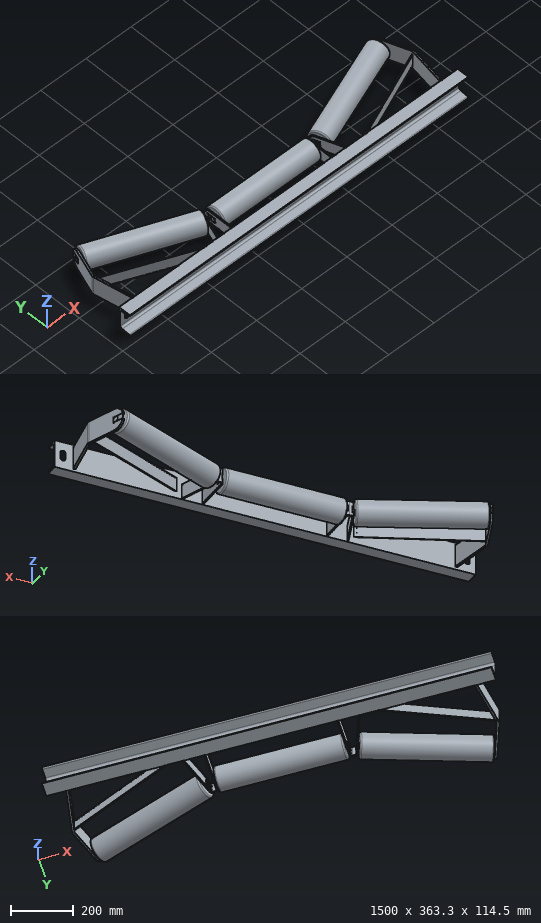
import cadquery as cq
import math


BEAM_LENGTH = 1500.0
BEAM_HEIGHT = 100.0
BEAM_DEPTH = 50.0
WEB_THICKNESS = 6.0
FLANGE_MEAN_THICKNESS = 8.5
FLANGE_SLOPE = 0.08
FLANGE_ROOT_RADIUS = 8.5
FLANGE_TOE_RADIUS = 4.5
MOUNT_SLOT_SPACING = 1440.0
MOUNT_SLOT_WIDTH = 18.0
MOUNT_SLOT_LENGTH = 36.0

ROLLER_DIAMETER = 89.0
ROLLER_LENGTH = 430.0
ROLLER_EDGE_RADIUS = 5.0
SHAFT_DIAMETER = 20.0
SHAFT_SLOT_HEIGHT = 60.0
END_GAP = 4.0
TROUGH_ANGLE = 20.0
CENTRE_AXIS_Y = 115.5
INNER_AXIS_Z = -20.0
OUTER_AXIS_Z = 0.0

WING_INNER_X = 255.5
WING_INNER_Y = 125.95

OUTER_BAR_THICKNESS = 8.0
INNER_BAR_THICKNESS = 5.0
OUTER_BAR_WIDTH = 80.0
INNER_BAR_WIDTH = 52.0
INNER_BRACKET_TOP_Y = 145.0
INNER_BEND_RADIUS = 9.0
OUTER_BEND_RADIUS = 16.0
OUTER_BEND_Y = 162.0
OUTER_LEG_ANGLE = 10.0
OUTER_TIP_RADIUS = OUTER_BAR_WIDTH / 2
OUTER_TIP_ACROSS = 33.0

FOOT_OVERRUN = 10.0

INNER_STUB = END_GAP + INNER_BAR_THICKNESS
OUTER_STUB = END_GAP + OUTER_BAR_THICKNESS

BRACE_THICKNESS = 4.0
BRACE_WIDTH = 50.0
BRACE_FOOT_X = 326.0
BRACE_TOP_Y = 161.0

TROUGH_COS = math.cos(math.radians(TROUGH_ANGLE))
TROUGH_SIN = math.sin(math.radians(TROUGH_ANGLE))
WING_SPAN = ROLLER_LENGTH + 2 * END_GAP
WING_RISE = math.degrees(math.asin((OUTER_AXIS_Z - INNER_AXIS_Z) / WING_SPAN))


def wing_point(along, across):
    """XY point of the right wing, measured from the inner end of its roller."""
    x = WING_INNER_X + along * TROUGH_COS - across * TROUGH_SIN
    y = WING_INNER_Y + along * TROUGH_SIN + across * TROUGH_COS
    return (x, y)


def wing_across_at(along, y):
    """Distance across the wing at which a point this far along it lies at y."""
    return (y - WING_INNER_Y - along * TROUGH_SIN) / TROUGH_COS


def inner_edge_box(y):
    """Opposite corners of a box around the beam edges at this Y that lie between its two outer faces."""
    margin = 1.0
    low = (-BEAM_LENGTH, y - margin, margin - BEAM_HEIGHT / 2)
    high = (BEAM_LENGTH, y + margin, BEAM_HEIGHT / 2 - margin)
    return low, high


def make_beam():
    """Channel with tapered flanges and an upright bolt slot near each end of its web."""
    half = BEAM_HEIGHT / 2
    mean_y = BEAM_DEPTH / 2
    root_thickness = FLANGE_MEAN_THICKNESS + FLANGE_SLOPE * (mean_y - WEB_THICKNESS)
    toe_thickness = FLANGE_MEAN_THICKNESS - FLANGE_SLOPE * mean_y
    profile = [
        (0, -half),
        (-BEAM_DEPTH, -half),
        (-BEAM_DEPTH, toe_thickness - half),
        (-WEB_THICKNESS, root_thickness - half),
        (-WEB_THICKNESS, half - root_thickness),
        (-BEAM_DEPTH, half - toe_thickness),
        (-BEAM_DEPTH, half),
        (0, half),
    ]
    beam = cq.Workplane("YZ").polyline(profile).close().extrude(BEAM_LENGTH / 2, both=True)
    roots = cq.selectors.BoxSelector(*inner_edge_box(-WEB_THICKNESS))
    toes = cq.selectors.BoxSelector(*inner_edge_box(-BEAM_DEPTH))
    beam = beam.edges("|X").edges(roots).fillet(FLANGE_ROOT_RADIUS)
    beam = beam.edges("|X").edges(toes).fillet(FLANGE_TOE_RADIUS)
    slots = (
        cq.Workplane("XZ")
        .pushPoints([(-MOUNT_SLOT_SPACING / 2, 0), (MOUNT_SLOT_SPACING / 2, 0)])
        .slot2D(MOUNT_SLOT_LENGTH, MOUNT_SLOT_WIDTH, 90)
        .extrude(WEB_THICKNESS)
    )
    return beam.cut(slots)


def make_roller(start_stub, end_stub):
    """Roller along +X from the origin, with a shaft stub standing out of each end."""
    tube = cq.Workplane("YZ").circle(ROLLER_DIAMETER / 2).extrude(ROLLER_LENGTH)
    tube = tube.faces("<X or >X").edges().fillet(ROLLER_EDGE_RADIUS)
    shaft_start = cq.Workplane("YZ").workplane(offset=-start_stub)
    shaft = shaft_start.circle(SHAFT_DIAMETER / 2).extrude(start_stub + ROLLER_LENGTH + end_stub)
    return tube.union(shaft)


def make_shaft_slot(start, length):
    """Room for dropping a shaft stub in from the +Y side, in the roller's own frame."""
    slot = cq.Workplane("XY").box(length, SHAFT_SLOT_HEIGHT, SHAFT_DIAMETER, centered=(False, False, True))
    return slot.translate((start, -SHAFT_DIAMETER / 2, 0))


def place_on_wing(body):
    """Moves a body from the roller's own frame to the right wing."""
    tilted = body.rotate((0, 0, 0), (0, 1, 0), -WING_RISE)
    turned = tilted.rotate((0, 0, 0), (0, 0, 1), TROUGH_ANGLE)
    return turned.translate((WING_INNER_X, WING_INNER_Y, INNER_AXIS_Z))


def place_at_centre(body):
    """Moves a body from the roller's own frame to the middle of the idler."""
    return body.translate((-ROLLER_LENGTH / 2, CENTRE_AXIS_Y, INNER_AXIS_Z))


def offset_line(points, distance):
    """Polyline beside an XY polyline, on its left for a positive distance."""
    directions = []
    for start, end in zip(points, points[1:]):
        length = math.dist(start, end)
        directions.append(((end[0] - start[0]) / length, (end[1] - start[1]) / length))
    befores = directions[:1] + directions
    afters = directions + directions[-1:]
    shifted = []
    for point, before, after in zip(points, befores, afters):
        cosine = before[0] * after[0] + before[1] * after[1]
        scale = distance / (1 + cosine)
        shifted.append((point[0] - (before[1] + after[1]) * scale, point[1] + (before[0] + after[0]) * scale))
    return shifted


def make_bent_bar(face_line, outside_radius, thickness, width):
    """Flat bar whose outside face follows an XY polyline, the metal being on its left."""
    inside_line = offset_line(face_line, thickness)
    bar = cq.Workplane("XY").polyline(face_line + inside_line[::-1]).close().extrude(width / 2, both=True)
    for line, radius in ((face_line, outside_radius), (inside_line, outside_radius - thickness)):
        for bend in line[1:-1]:
            nearest = cq.selectors.NearestToPointSelector((*bend, 0))
            bar = bar.edges("|Z").edges(nearest).fillet(radius)
    return bar


def trim_at_web(bar):
    """Removes whatever reaches past the back of the beam web."""
    waste = cq.Workplane("XY").box(BEAM_LENGTH, BEAM_DEPTH, BEAM_HEIGHT).translate((0, -BEAM_DEPTH / 2, 0))
    return bar.cut(waste)


def make_inner_bracket():
    """Bridge between the centre and wing rollers: an upright leg, a short top and a sloping leg."""
    upright_x = ROLLER_LENGTH / 2 + END_GAP
    inner_along = -END_GAP
    top_corner = wing_point(inner_along, wing_across_at(inner_along, INNER_BRACKET_TOP_Y))
    foot = wing_point(inner_along, wing_across_at(inner_along, -FOOT_OVERRUN))
    face_line = [foot, top_corner, (upright_x, INNER_BRACKET_TOP_Y), (upright_x, -FOOT_OVERRUN)]
    bar = make_bent_bar(face_line, INNER_BEND_RADIUS, INNER_BAR_THICKNESS, INNER_BAR_WIDTH)
    bar = trim_at_web(bar.translate((0, 0, INNER_AXIS_Z)))
    wing_slot = place_on_wing(make_shaft_slot(-INNER_STUB, INNER_STUB))
    centre_slot = place_at_centre(make_shaft_slot(ROLLER_LENGTH, INNER_STUB))
    return bar.cut(wing_slot).cut(centre_slot)


def round_tip(bar, face_along):
    """Trims the free end of the outer bracket to a half round as wide as the bar."""
    centre = wing_point(face_along, OUTER_TIP_ACROSS - OUTER_TIP_RADIUS)
    face = cq.Workplane(cq.Plane((*centre, 0), (-TROUGH_SIN, TROUGH_COS, 0), (TROUGH_COS, TROUGH_SIN, 0)))
    end_block = face.center(OUTER_TIP_RADIUS, 0).rect(2 * OUTER_TIP_RADIUS, 2 * OUTER_BAR_WIDTH)
    waste = end_block.extrude(2 * OUTER_BAR_THICKNESS, both=True)
    waste = waste.cut(face.circle(OUTER_TIP_RADIUS).extrude(2 * OUTER_BAR_THICKNESS, both=True))
    return bar.cut(waste)


def make_outer_bracket():
    """Bar that rises from the web, then bends in to stand square to the outer end of the wing roller."""
    face_along = ROLLER_LENGTH + OUTER_STUB
    tip = wing_point(face_along, OUTER_TIP_ACROSS)
    bend = wing_point(face_along, wing_across_at(face_along, OUTER_BEND_Y))
    leg_run = math.tan(math.radians(OUTER_LEG_ANGLE)) * (OUTER_BEND_Y + FOOT_OVERRUN)
    foot = (bend[0] - leg_run, -FOOT_OVERRUN)
    bar = make_bent_bar([foot, bend, tip], OUTER_BEND_RADIUS, OUTER_BAR_THICKNESS, OUTER_BAR_WIDTH)
    bar = round_tip(trim_at_web(bar), face_along)
    return bar.cut(place_on_wing(make_shaft_slot(ROLLER_LENGTH, OUTER_STUB)))


def make_brace(outer_bracket):
    """Flat stay from the web to the bend of the outer bracket."""
    top_along = ROLLER_LENGTH + END_GAP + OUTER_BAR_THICKNESS / 2
    top = wing_point(top_along, wing_across_at(top_along, BRACE_TOP_Y))
    run_per_rise = (top[0] - BRACE_FOOT_X) / top[1]
    foot = (BRACE_FOOT_X - run_per_rise * FOOT_OVERRUN, -FOOT_OVERRUN)
    line = [foot, top]
    plan = line + offset_line(line, BRACE_THICKNESS)[::-1]
    brace = cq.Workplane("XY").polyline(plan).close().extrude(BRACE_WIDTH / 2, both=True)
    return trim_at_web(brace).cut(outer_bracket)


beam = make_beam()
centre_roller = place_at_centre(make_roller(INNER_STUB, INNER_STUB))
wing_roller = place_on_wing(make_roller(INNER_STUB, OUTER_STUB))
inner_bracket = make_inner_bracket()
outer_bracket = make_outer_bracket()
brace = make_brace(outer_bracket)

bodies = [beam.val(), centre_roller.val()]
for body in (wing_roller, inner_bracket, outer_bracket, brace):
    bodies += [body.val(), body.mirror("YZ").val()]
result = cq.Compound.makeCompound(bodies)